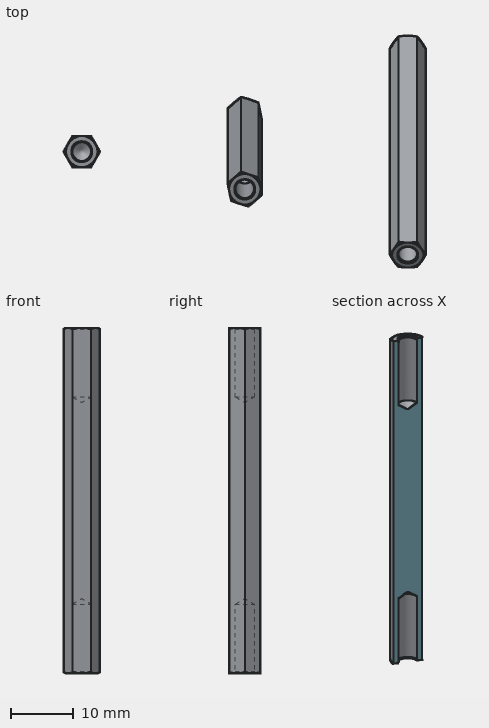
import cadquery as cq
import math

length = 55.0
across_flats = 5.0
across_corners = across_flats / math.cos(math.radians(30))

end_face_diameter = 5.0
chamfer_angle = 30.0

hole_diameter = 3.0
hole_depth = 11.0
drill_tip_angle = 118.0
countersink_diameter = 3.3
countersink_depth = 0.3


def hexagonal_bar():
    """Hexagonal prism with two corners on the X axis."""
    return cq.Workplane("XY").polygon(6, across_corners).extrude(length)


def chamfer_envelope():
    """Round bar with conical ends; its overlap with the hexagon chamfers the corners."""
    corner_radius = across_corners / 2
    face_radius = end_face_diameter / 2
    chamfer_height = (corner_radius - face_radius) * math.tan(math.radians(chamfer_angle))
    profile = [
        (0, 0),
        (face_radius, 0),
        (corner_radius, chamfer_height),
        (corner_radius, length - chamfer_height),
        (face_radius, length),
        (0, length),
    ]
    return cq.Workplane("XZ").polyline(profile).close().revolve(360, (0, 0), (0, 1))


def top_hole():
    """Drilled hole with a conical bottom and a shallow countersink at the top face."""
    radius = hole_diameter / 2
    mouth_radius = countersink_diameter / 2
    tip_depth = radius / math.tan(math.radians(drill_tip_angle / 2))
    floor = length - hole_depth
    profile = [
        (0, length),
        (mouth_radius, length),
        (radius, length - countersink_depth),
        (radius, floor),
        (0, floor - tip_depth),
    ]
    return cq.Workplane("XZ").polyline(profile).close().revolve(360, (0, 0), (0, 1))


upper_hole = top_hole()
lower_hole = upper_hole.mirror("XY", (0, 0, length / 2))

result = hexagonal_bar().intersect(chamfer_envelope()).cut(upper_hole).cut(lower_hole)